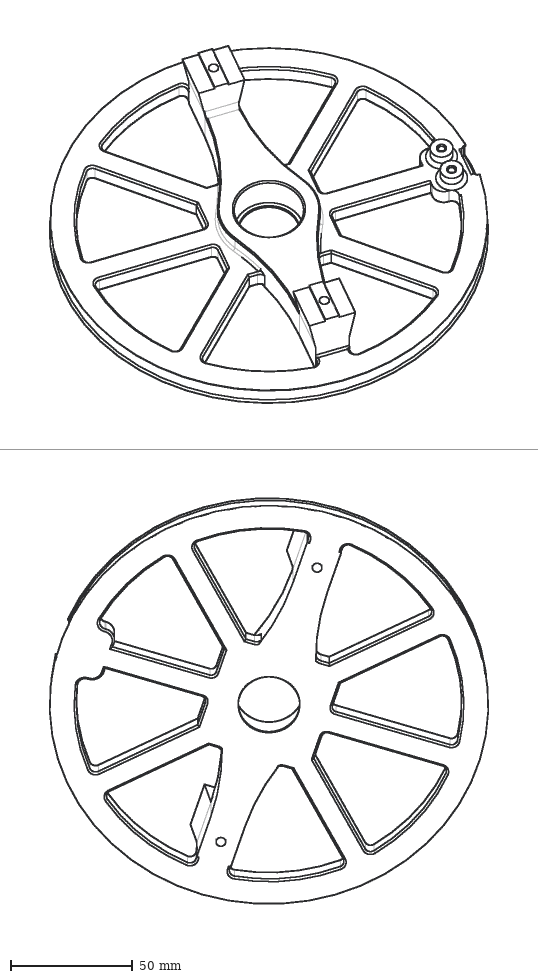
import cadquery as cq
import math

wheel_radius = 90.5
top_flange_radius = 90.2
groove_radius = 89.7
flange_height = 1.0
plate_height = 8.2
rim_inner_radius = 79.5
hub_half_width = 25.2
spoke_half_width = 5.0
edge_chamfer = 0.9
rim_corner_radius = 2.5
arm_overlap = 0.09
hub_corner_radius = 2.2
arm_corner_radius = 3.0

arm_height = 14.9
arm_half_width = 7.5
arm_hub_radius = 21.2
arm_edge_chamfer = 0.5
arm_foot_fillet = 1.0

tower_inner_x = 55.8
tower_length = 19.2
tower_outer_x = tower_inner_x + tower_length
tower_top = 31.3
ridge_height = 1.0
ridge_half_width = 3.0
shoulder_z = tower_top - ridge_height
shoulder_half_width = 10.1
tower_hole_diameter = 4.0
tower_inner_fillet = 2.2
tower_foot_width = 0.5
tower_foot_height = 1.5

bore_diameter = 25.4
bearing_seat_diameter = 28.6
bearing_ledge_height = 1.0
bearing_seat_chamfer = 0.7

pin_x = 6.0
pin_y = 78.3
pin_diameter = 9.5
pin_top = 13.8
pin_base_radius = 6.5
pin_base_height = 1.6
pin_hole_diameter = 2.9
pin_hole_mouth_diameter = 4.0
pin_hole_depth = 3.6

pad_half_width = 12.0
pad_inner_y = 69.4
pad_corner_radius = 5.0
pad_rim_fillet = 3.0

notch_inner_y = 86.4
notch_half_width = 7.0
notch_flare = 1.0
notch_flare_y = 87.7
notch_floor = flange_height


def make_disc():
    """Full disc with a shallow groove between two tapered flanges."""
    return (
        cq.Workplane("XZ")
        .moveTo(0, 0)
        .lineTo(wheel_radius, 0)
        .lineTo(groove_radius, flange_height)
        .lineTo(groove_radius, plate_height - flange_height)
        .lineTo(top_flange_radius, plate_height)
        .lineTo(0, plate_height)
        .close()
        .revolve(360, (0, 0, 0), (0, 1, 0))
    )


def make_pocket(side_half_width):
    """Opening between a spoke along +X of the given half width and the diagonal spoke above it."""
    diagonal_offset = spoke_half_width * math.sqrt(2)
    side_angle = math.asin(side_half_width / rim_inner_radius)
    diagonal_angle = math.pi / 4 - math.asin(spoke_half_width / rim_inner_radius)
    middle_angle = (side_angle + diagonal_angle) / 2

    def on_rim(angle):
        return (rim_inner_radius * math.cos(angle), rim_inner_radius * math.sin(angle))

    pocket = (
        cq.Workplane("XY")
        .moveTo(hub_half_width, side_half_width)
        .lineTo(*on_rim(side_angle))
        .threePointArc(on_rim(middle_angle), on_rim(diagonal_angle))
        .lineTo(hub_half_width, hub_half_width - diagonal_offset)
        .close()
        .extrude(plate_height)
    )
    for corner in (on_rim(side_angle), on_rim(diagonal_angle)):
        nearest = cq.selectors.NearestToPointSelector((*corner, plate_height / 2))
        pocket = pocket.edges("|Z").edges(nearest).fillet(rim_corner_radius)
    return pocket


def round_hub_corner(pocket, side_half_width, radius):
    """Round the corner where the hub meets the spoke or arm along +X."""
    hub_corner = cq.selectors.NearestToPointSelector((hub_half_width, side_half_width, plate_height / 2))
    return pocket.edges("|Z").edges(hub_corner).fillet(radius)


def cut_pockets(disc):
    """Cut the eight openings out of the disc."""
    arm_slab = arm_outline().offset2D(-arm_overlap).extrude(plate_height)
    pocket_side = arm_half_width - arm_overlap
    beside_arm = round_hub_corner(make_pocket(pocket_side).cut(arm_slab), pocket_side, arm_corner_radius)
    beside_spoke = round_hub_corner(make_pocket(spoke_half_width), spoke_half_width, hub_corner_radius)
    beside_spoke = beside_spoke.rotate((0, 0, 0), (1, 1, 0), 180)
    beside_spoke = beside_spoke.translate((0, 0, plate_height))
    for pocket in (beside_arm, beside_spoke):
        upper_pair = pocket.union(pocket.mirror("YZ"))
        disc = disc.cut(upper_pair).cut(upper_pair.mirror("XZ"))
    return disc


def chamfer_openings(plate, face_selector):
    """Chamfer the rims of all openings on one flat face of the plate."""
    opening_wires = plate.faces(face_selector).val().innerWires()
    opening_edges = [edge for wire in opening_wires for edge in wire.Edges()]
    return plate.newObject(opening_edges).chamfer(edge_chamfer)


def arm_outline():
    """Arm outline: straight ends blended by long arcs into a round hub."""
    blend_radius = (tower_inner_x**2 + arm_half_width**2 - arm_hub_radius**2) / (
        2 * (arm_hub_radius - arm_half_width)
    )
    blend_center_y = arm_half_width + blend_radius
    hub_angle = math.atan2(blend_center_y, tower_inner_x)
    join_x = arm_hub_radius * math.cos(hub_angle)
    join_y = arm_hub_radius * math.sin(hub_angle)
    middle_angle = (hub_angle + math.pi / 2) / 2
    middle_x = tower_inner_x - blend_radius * math.cos(middle_angle)
    middle_y = blend_center_y - blend_radius * math.sin(middle_angle)
    return (
        cq.Workplane("XY")
        .moveTo(tower_outer_x, -arm_half_width)
        .lineTo(tower_outer_x, arm_half_width)
        .lineTo(tower_inner_x, arm_half_width)
        .threePointArc((middle_x, middle_y), (join_x, join_y))
        .threePointArc((0, arm_hub_radius), (-join_x, join_y))
        .threePointArc((-middle_x, middle_y), (-tower_inner_x, arm_half_width))
        .lineTo(-tower_outer_x, arm_half_width)
        .lineTo(-tower_outer_x, -arm_half_width)
        .lineTo(-tower_inner_x, -arm_half_width)
        .threePointArc((-middle_x, -middle_y), (-join_x, -join_y))
        .threePointArc((0, -arm_hub_radius), (join_x, -join_y))
        .threePointArc((middle_x, -middle_y), (tower_inner_x, -arm_half_width))
        .close()
    )


def make_arm():
    """Arm through the full plate height with a chamfered top edge."""
    return arm_outline().extrude(arm_height).faces(">Z").chamfer(arm_edge_chamfer)


def make_arm_foot():
    """Middle of the arm with a fillet where its sides stand on the flat hub of the plate."""
    flat_half_width = hub_half_width - edge_chamfer
    hub_slab = cq.Workplane("XY").rect(2 * flat_half_width, 2 * flat_half_width).extrude(plate_height)
    arm_middle = arm_outline().extrude(arm_height - arm_edge_chamfer)
    arm_middle = arm_middle.intersect(
        cq.Workplane("XY").rect(2 * flat_half_width, 2 * flat_half_width).extrude(arm_height)
    )
    foot_zone = cq.selectors.BoxSelector(
        (-flat_half_width + edge_chamfer, -arm_hub_radius - edge_chamfer, plate_height - edge_chamfer),
        (flat_half_width - edge_chamfer, arm_hub_radius + edge_chamfer, plate_height + edge_chamfer),
    )
    return hub_slab.union(arm_middle).edges(foot_zone).fillet(arm_foot_fillet)


def make_tower():
    """Flared tower on the +X end of the arm, with a ridge on top."""
    body = (
        cq.Workplane("YZ")
        .workplane(offset=tower_inner_x)
        .moveTo(-arm_half_width, 0)
        .lineTo(-arm_half_width, arm_height)
        .lineTo(-shoulder_half_width, shoulder_z)
        .lineTo(-ridge_half_width, shoulder_z)
        .lineTo(-ridge_half_width, tower_top)
        .lineTo(ridge_half_width, tower_top)
        .lineTo(ridge_half_width, shoulder_z)
        .lineTo(shoulder_half_width, shoulder_z)
        .lineTo(arm_half_width, arm_height)
        .lineTo(arm_half_width, 0)
        .close()
        .extrude(tower_length)
    )
    inner_fillet = (
        cq.Workplane("XZ")
        .moveTo(tower_inner_x, arm_height)
        .lineTo(tower_inner_x, arm_height + tower_inner_fillet)
        .radiusArc((tower_inner_x - tower_inner_fillet, arm_height), tower_inner_fillet)
        .lineTo(tower_inner_x - tower_inner_fillet, arm_height - arm_edge_chamfer)
        .lineTo(tower_inner_x, arm_height - arm_edge_chamfer)
        .close()
        .extrude(arm_half_width, both=True)
    )
    outer_foot = (
        cq.Workplane("XZ")
        .moveTo(tower_outer_x, plate_height)
        .lineTo(tower_outer_x + tower_foot_width, plate_height)
        .lineTo(tower_outer_x, plate_height + tower_foot_height)
        .close()
        .extrude(arm_half_width, both=True)
    )
    return body.union(inner_fillet).union(outer_foot)


def make_pad():
    """Pad widening the upper spoke where it meets the rim, blended into the rim."""
    fillet_x = pad_half_width + pad_rim_fillet
    fillet_reach = rim_inner_radius - pad_rim_fillet
    fillet_y = math.sqrt(fillet_reach**2 - fillet_x**2)
    rim_x = fillet_x * rim_inner_radius / fillet_reach
    rim_y = fillet_y * rim_inner_radius / fillet_reach
    corner_x = pad_half_width - pad_corner_radius
    corner_y = pad_inner_y + pad_corner_radius
    back_y = rim_inner_radius + edge_chamfer
    return (
        cq.Workplane("XY")
        .moveTo(-corner_x, pad_inner_y)
        .lineTo(corner_x, pad_inner_y)
        .radiusArc((pad_half_width, corner_y), -pad_corner_radius)
        .lineTo(pad_half_width, fillet_y)
        .radiusArc((rim_x, rim_y), pad_rim_fillet)
        .lineTo(rim_x, back_y)
        .lineTo(-rim_x, back_y)
        .lineTo(-rim_x, rim_y)
        .radiusArc((-pad_half_width, fillet_y), pad_rim_fillet)
        .lineTo(-pad_half_width, corner_y)
        .radiusArc((-corner_x, pad_inner_y), -pad_corner_radius)
        .close()
        .extrude(plate_height)
    )


def make_pin():
    """Pin with a conical base and a blind hole with a countersunk mouth, standing on the Z axis."""
    pin_radius = pin_diameter / 2
    hole_radius = pin_hole_diameter / 2
    mouth_radius = pin_hole_mouth_diameter / 2
    return (
        cq.Workplane("XZ")
        .moveTo(0, plate_height)
        .lineTo(pin_base_radius, plate_height)
        .lineTo(pin_radius, plate_height + pin_base_height)
        .lineTo(pin_radius, pin_top)
        .lineTo(mouth_radius, pin_top)
        .lineTo(hole_radius, pin_top - (mouth_radius - hole_radius))
        .lineTo(hole_radius, pin_top - pin_hole_depth)
        .lineTo(0, pin_top - pin_hole_depth)
        .close()
        .revolve(360, (0, 0, 0), (0, 1, 0))
    )


def make_bore():
    """Through bore below a wider bearing seat with a chamfered mouth."""
    seat_radius = bearing_seat_diameter / 2
    return (
        cq.Workplane("XZ")
        .moveTo(0, 0)
        .lineTo(bore_diameter / 2, 0)
        .lineTo(bore_diameter / 2, bearing_ledge_height)
        .lineTo(seat_radius, bearing_ledge_height)
        .lineTo(seat_radius, arm_height - bearing_seat_chamfer)
        .lineTo(seat_radius + bearing_seat_chamfer, arm_height)
        .lineTo(0, arm_height)
        .close()
        .revolve(360, (0, 0, 0), (0, 1, 0))
    )


def make_notch():
    """Notch in the rim above the lower flange, with a flared mouth."""
    mouth_half_width = notch_half_width + notch_flare
    return (
        cq.Workplane("XY")
        .workplane(offset=notch_floor)
        .moveTo(-notch_half_width, notch_inner_y)
        .lineTo(notch_half_width, notch_inner_y)
        .lineTo(notch_half_width, notch_flare_y)
        .lineTo(mouth_half_width, notch_flare_y + notch_flare)
        .lineTo(mouth_half_width, wheel_radius)
        .lineTo(-mouth_half_width, wheel_radius)
        .lineTo(-mouth_half_width, notch_flare_y + notch_flare)
        .lineTo(-notch_half_width, notch_flare_y)
        .close()
        .extrude(plate_height - notch_floor)
    )


tower = make_tower()
tower_holes = (
    cq.Workplane("XY")
    .pushPoints([(side * (tower_inner_x + tower_length / 2), 0) for side in (-1, 1)])
    .circle(tower_hole_diameter / 2)
    .extrude(tower_top)
)

plate = chamfer_openings(cut_pockets(make_disc()), ">Z").union(make_pad())
plate = chamfer_openings(plate, "<Z")

result = plate.union(make_arm()).union(make_arm_foot())
result = result.union(tower).union(tower.mirror("YZ"))
for side in (-1, 1):
    result = result.union(make_pin().translate((side * pin_x, pin_y, 0)))
result = result.cut(make_bore()).cut(tower_holes).cut(make_notch())